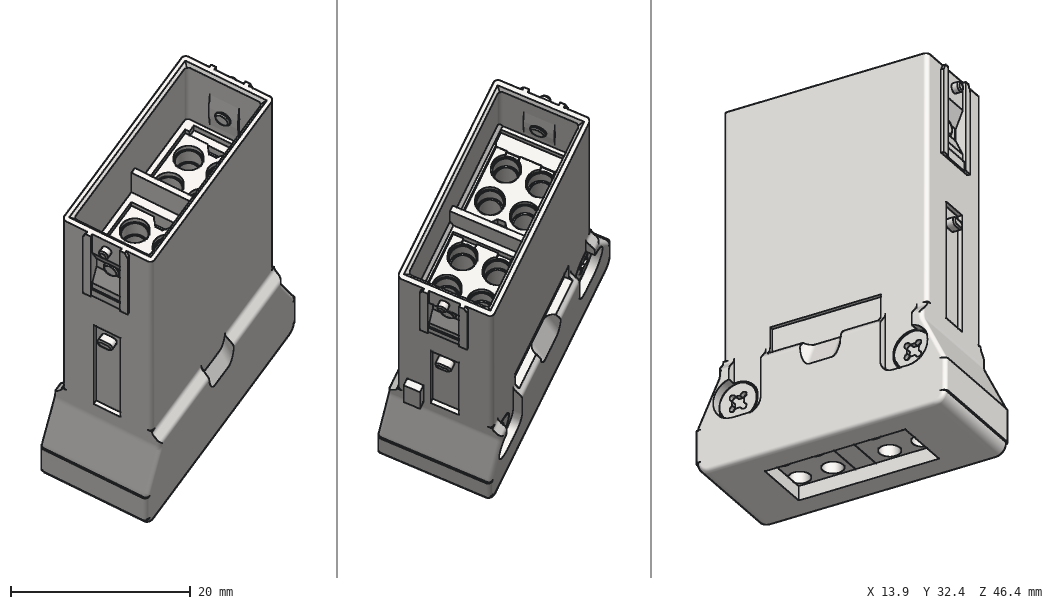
import cadquery as cq
import math

height = 46.4
column_x = 11.7
column_y = 26.35
column_corner_radius = 0.55
base_x = 13.9
base_y = 32.0
overall_y = 32.4
edge_radius = 0.5

flare_top_z = 11.8
flare_bottom_z = 5.95
flare_radius = 1.4
base_corner_radius = 1.5
end_pad_bottom_z = 1.5
end_pad_top_z = 5.65
shoulder_top_z = 13.9
shoulder_bottom_z = 12.6
shoulder_radius = 0.95

cavity_x = 9.85
cavity_y = 24.3
cavity_floor_z = 36.2
cavity_corner_radius = 0.45
mouth_chamfer = 0.35
ledge_width = 0.4
ledge_height = 0.75
divider_y = 0.65
divider_thickness = 0.75
divider_top_z = 39.9
end_well_x_min = -3.65
end_well_x_max = cavity_x / 2 - ledge_width
end_well_outer_y = 11.7
end_well_depth = 0.95

module_x = 8.45
module_y = 9.0
module_pitch = 11.6
module_mid_y = 0.4
module_bottom_z = 1.85
module_top_z = 35.5
module_centers_y = [module_mid_y + side * module_pitch / 2 for side in (1, -1)]
contact_pitch = 4.25
contact_shift_y = -0.35
contact_bore = 2.6
contact_seat = 3.0
contact_seat_depth = 2.8
contact_mouth = 3.4
contact_mouth_depth = 0.7
key_width = 2.6
key_tip_width = 0.95
key_reach = 1.1
key_depth = 1.4
relief_width = 1.62
relief_depth = 0.45
bottom_opening_x = 7.42
bottom_opening_y = 18.1

rail_outer_x = 5.8
rail_inner_x = 3.8
rail_thickness = 0.35
rail_bottom_z = 34.95
rail_lead_x = 0.35
rail_lead_z = 0.75
channel_step_z = 36.15
channel_step_depth = 0.2
detent_top_z = 42.85
detent_bottom_z = 37.1
detent_mid_z = 39.9
detent_tip_height = 1.5
detent_depth = 0.95
detent_wall = 0.32
detent_pin_diameter = 1.95
detent_pin_inner_y = 11.55
detent_pin_outer_y = 12.5
top_pin_diameter = 1.2
top_pin_z = 44.7
top_pin_tip_y = 14.1
panel_width = 3.5
panel_bottom_z = 14.15
panel_top_z = 29.2
panel_depth = 0.55
panel_pin_width = 1.95
panel_pin_height = 1.1
panel_pin_z = 27.15
panel_pin_tip_y = 13.8
pin_chamfer = 0.2

block_x_min = 2.6
block_x_max = 4.6
block_bottom_z = 13.6
block_top_z = 18.4
block_outer_y = 14.1

pocket_inner_y = 7.7
pocket_outer_y = 11.8
pocket_bottom_z = 6.0
pocket_corner_radius = 1.65
screw_y = 11.28
screw_z = 8.55
screw_hole = 5.1
screw_head = 4.8
screw_gap_depth = 0.25
drive_width = 0.7
drive_length = 2.8
drive_bore = 1.6
drive_depth = 0.7
label_y = 14.3
label_bottom_z = 13.3
label_top_z = 16.95
label_depth = 0.5
notch_bottom_z = 9.98
notch_top_z = 14.85
notch_y = 5.3
notch_radius = 1.2
notch_floor_slope = 0.48

face_x = column_x / 2
face_y = column_y / 2


def box(x_min, x_max, y_min, y_max, z_min, z_max):
    """Block between two opposite corners."""
    size = (x_max - x_min, y_max - y_min, z_max - z_min)
    return cq.Workplane("XY").box(*size, centered=False).translate((x_min, y_min, z_min))


def rod_y(diameter, z, y_min, y_max):
    """Round rod along +Y on the YZ centre plane."""
    return cq.Workplane("XZ", origin=(0, y_min, z)).circle(diameter / 2).extrude(y_min - y_max)


def both_ends(shape):
    """A +Y end feature together with its mirror image on the -Y end."""
    return shape.union(shape.mirror("XZ"))


def edges_at(z):
    """Selector for the edges that lie at one height."""
    margin = 0.05
    return cq.selectors.BoxSelector((-base_x, -base_y, z - margin), (base_x, base_y, z + margin))


def make_shoulder():
    """Side-to-side profile of the base, blending from the broad faces into the column."""
    half = base_x / 2
    slope_angle = math.atan2(half - face_x, shoulder_top_z - shoulder_bottom_z)
    blend_top_z = shoulder_top_z + shoulder_radius * math.tan(slope_angle / 2)
    profile = (
        cq.Workplane("XZ", origin=(0, base_y / 2, 0))
        .polyline([(-half, 0), (half, 0), (half, shoulder_bottom_z), (face_x, shoulder_top_z),
                   (face_x, height), (-face_x, height), (-face_x, shoulder_top_z),
                   (-half, shoulder_bottom_z)])
        .close().extrude(base_y)
    )
    for corner_z in (shoulder_bottom_z, shoulder_top_z):
        profile = profile.edges("|Y").edges(edges_at(corner_z)).fillet(shoulder_radius)
    return profile.intersect(box(-half, half, -base_y / 2, base_y / 2, 0, blend_top_z))


def make_base():
    """Flared base with rounded broad-face edges and a sloping shoulder."""
    flank = base_y / 2
    outline = [
        (-flank, 0), (flank, 0), (flank, flare_bottom_z), (face_y, flare_top_z),
        (face_y, height), (-face_y, height), (-face_y, flare_top_z), (-flank, flare_bottom_z),
    ]
    base = cq.Workplane("YZ", origin=(-base_x / 2, 0, 0)).polyline(outline).close().extrude(base_x)
    base = base.edges("|X and <Z").fillet(base_corner_radius)
    for corner_z in (flare_bottom_z, flare_top_z):
        base = base.edges("|X").edges(edges_at(corner_z)).fillet(flare_radius)
    base = base.faces("<X or >X").edges("not >Z").fillet(edge_radius)
    return base.intersect(make_shoulder())


def make_end_pads():
    """Thin raised pad on each end of the base."""
    half = base_x / 2
    pads = box(-half, half, -overall_y / 2, overall_y / 2, end_pad_bottom_z, end_pad_top_z)
    return pads.edges("|Z").fillet(edge_radius)


def make_column():
    """Upright rectangular shell blank."""
    column = box(-face_x, face_x, -face_y, face_y, flare_bottom_z, height)
    return column.edges("|Z").fillet(column_corner_radius)


def make_cavity():
    """Open cavity with a chamfered mouth, divider and sloped ledge left standing."""
    half_x = cavity_x / 2
    half_y = cavity_y / 2
    cavity = box(-half_x, half_x, -half_y, half_y, cavity_floor_z, height)
    cavity = cavity.edges("|Z").fillet(cavity_corner_radius)
    mouth = (
        cq.Workplane("XY", origin=(0, 0, height))
        .rect(cavity_x + 2 * mouth_chamfer, cavity_y + 2 * mouth_chamfer)
        .extrude(-2 * mouth_chamfer, taper=45)
    )
    cavity = cavity.union(mouth)
    divider = box(-half_x, half_x, divider_y - divider_thickness / 2,
                  divider_y + divider_thickness / 2, cavity_floor_z, divider_top_z)
    ledge = (
        cq.Workplane("XZ", origin=(0, half_y, 0))
        .polyline([(half_x, cavity_floor_z), (half_x - ledge_width, cavity_floor_z),
                   (half_x, cavity_floor_z + ledge_height)])
        .close().extrude(cavity_y)
    )
    return cavity.cut(divider).cut(ledge)


def make_end_wells():
    """Shallow wells in the cavity floor beside the modules."""
    well_bottom = cavity_floor_z - end_well_depth
    inner_plus = module_centers_y[0] + module_y / 2
    inner_minus = module_centers_y[1] - module_y / 2
    plus = box(end_well_x_min, end_well_x_max, inner_plus, end_well_outer_y, well_bottom, cavity_floor_z)
    minus = box(end_well_x_min, end_well_x_max, -end_well_outer_y, inner_minus, well_bottom, cavity_floor_z)
    return plus.union(minus)


def make_module_bays():
    """Through bays for the modules and the opening in the bottom plate."""
    bays = box(-bottom_opening_x / 2, bottom_opening_x / 2, -bottom_opening_y / 2, bottom_opening_y / 2,
               0, module_bottom_z)
    for center_y in module_centers_y:
        bays = bays.union(box(-module_x / 2, module_x / 2, center_y - module_y / 2, center_y + module_y / 2,
                              module_bottom_z, cavity_floor_z))
    return bays


def make_rails():
    """Raised guide rails either side of the detent channel."""
    outer = rail_outer_x / 2
    outline = [(-outer, rail_bottom_z), (outer, rail_bottom_z), (outer, height - rail_lead_z),
               (outer - rail_lead_x, height), (rail_lead_x - outer, height), (-outer, height - rail_lead_z)]
    rails = cq.Workplane("XZ", origin=(0, face_y, 0)).polyline(outline).close().extrude(-rail_thickness)
    channel = box(-rail_inner_x / 2, rail_inner_x / 2, face_y, face_y + rail_thickness, rail_bottom_z, height)
    step = box(-rail_inner_x / 2, rail_inner_x / 2, face_y, face_y + channel_step_depth,
               rail_bottom_z, channel_step_z)
    return both_ends(rails.cut(channel).union(step))


def make_detent(surface_y, tip_y):
    """Inward-pointing wedge behind the end face."""
    half_tip = detent_tip_height / 2
    outline = [(surface_y, detent_bottom_z), (surface_y, detent_top_z),
               (tip_y, detent_mid_z + half_tip), (tip_y, detent_mid_z - half_tip)]
    wedge = cq.Workplane("YZ", origin=(-rail_inner_x / 2, 0, 0)).polyline(outline).close()
    return both_ends(wedge.extrude(rail_inner_x))


def make_pins():
    """Small pins on both ends: top pin, pin inside the detent and pin in the panel."""
    top = rod_y(top_pin_diameter, top_pin_z, face_y, top_pin_tip_y).faces(">Y").chamfer(pin_chamfer)
    inner = rod_y(detent_pin_diameter, detent_mid_z, detent_pin_inner_y, detent_pin_outer_y)
    inner = inner.faces("<Y or >Y").chamfer(pin_chamfer)
    start_y = face_y - panel_depth
    panel = (
        cq.Workplane("XZ", origin=(0, start_y, panel_pin_z))
        .slot2D(panel_pin_width, panel_pin_height).extrude(start_y - panel_pin_tip_y)
        .faces(">Y").chamfer(pin_chamfer)
    )
    return both_ends(top.union(inner).union(panel))


def make_panels():
    """Sunken panel in each end face."""
    return both_ends(box(-panel_width / 2, panel_width / 2, face_y - panel_depth, face_y,
                         panel_bottom_z, panel_top_z))


def make_coding_block():
    """Small block standing out from the +Y end face."""
    return box(block_x_min, block_x_max, face_y, block_outer_y, block_bottom_z, block_top_z)


def make_screw_pockets():
    """Pockets through the -X shoulder, each a slot joined to a round screw hole."""
    reach = face_x - base_x / 2
    slot = box(-base_x / 2, -face_x, pocket_inner_y, pocket_outer_y, pocket_bottom_z, height)
    slot = slot.edges("|X and <Y and <Z").fillet(pocket_corner_radius)
    slot = slot.cut(box(-base_x / 2, -face_x, screw_y, pocket_outer_y, pocket_bottom_z, screw_z))
    hole = cq.Workplane("YZ", origin=(-face_x, screw_y, screw_z)).circle(screw_hole / 2).extrude(reach)
    return both_ends(slot.union(hole))


def make_screw_details():
    """Gap ring and cross drive of the screw heads at the bottom of the pockets."""
    start = cq.Workplane("YZ", origin=(-face_x, screw_y, screw_z))
    details = start.circle(screw_hole / 2).circle(screw_head / 2).extrude(screw_gap_depth)
    details = details.union(start.circle(drive_bore / 2).extrude(drive_depth))
    for angle in (45, 135):
        arm = start.transformed(rotate=(0, 0, angle)).slot2D(drive_length, drive_width)
        details = details.union(arm.extrude(drive_depth))
    return both_ends(details)


def make_label_recess():
    """Flat recess in the -X face that also trims the shoulder below it."""
    return box(-base_x / 2, label_depth - face_x, -label_y / 2, label_y / 2, label_bottom_z, label_top_z)


def make_finger_notch():
    """Sloped finger notch in the middle of the -X shoulder."""
    outer_x = -base_x / 2
    inner_x = outer_x + (notch_top_z - notch_bottom_z) * notch_floor_slope
    mouth_x = outer_x - notch_radius * 2
    foot_z = notch_bottom_z + (mouth_x - outer_x) / notch_floor_slope
    notch = (
        cq.Workplane("XZ", origin=(0, notch_y / 2, 0))
        .polyline([(mouth_x, foot_z), (inner_x, notch_top_z), (mouth_x, notch_top_z)])
        .close().extrude(notch_y)
    )
    return notch.edges("not (|X or |Y or |Z)").fillet(notch_radius)


def make_housing():
    """Shell, base, rails, pins and screw heads as one solid."""
    notch = make_finger_notch()
    base = make_base().union(make_end_pads()).cut(make_screw_pockets())
    shell = base.cut(notch).cut(notch.mirror("YZ")).union(make_column())
    below_label = box(-base_x, 0, -label_y / 2, label_y / 2, 0, label_bottom_z)
    shell = shell.cut(make_label_recess()).cut(notch.intersect(below_label))
    shell = shell.cut(make_panels()).cut(make_screw_details())
    shell = shell.cut(make_cavity()).cut(make_end_wells()).cut(make_module_bays())
    shell = shell.union(make_detent(cavity_y / 2, face_y - detent_depth - detent_wall))
    shell = shell.cut(make_detent(face_y, face_y - detent_depth))
    return shell.union(make_rails()).union(make_coding_block()).union(make_pins())


def make_module(center_y):
    """Contact insert with four stepped bores, a key notch and two relief grooves."""
    half_y = module_y / 2
    module = box(-module_x / 2, module_x / 2, center_y - half_y, center_y + half_y,
                 module_bottom_z, module_top_z)
    bores = cq.Workplane("XY", origin=(0, center_y + contact_shift_y, module_top_z))
    bores = bores.rarray(contact_pitch, contact_pitch, 2, 2)
    module = module.cut(bores.circle(contact_bore / 2).extrude(module_bottom_z - module_top_z))
    module = module.cut(bores.circle(contact_seat / 2).extrude(-contact_seat_depth))
    module = module.cut(bores.circle(contact_mouth / 2).extrude(-contact_mouth_depth))

    top = cq.Workplane("XY", origin=(0, center_y, module_top_z))
    key = top.polyline([(-key_width / 2, half_y), (key_width / 2, half_y),
                        (key_tip_width / 2, half_y - key_reach), (-key_tip_width / 2, half_y - key_reach)])
    module = module.cut(key.close().extrude(-key_depth))
    front_row_y = center_y + contact_shift_y - contact_pitch / 2
    for side in (-1, 1):
        contact_x = side * contact_pitch / 2
        module = module.cut(box(contact_x - relief_width / 2, contact_x + relief_width / 2,
                                center_y - half_y, front_row_y, module_top_z - relief_depth, module_top_z))
    return module.solids()


housing = make_housing().solids()
modules = [make_module(center_y) for center_y in module_centers_y]
result = cq.Compound.makeCompound([housing.val(), *[module.val() for module in modules]])